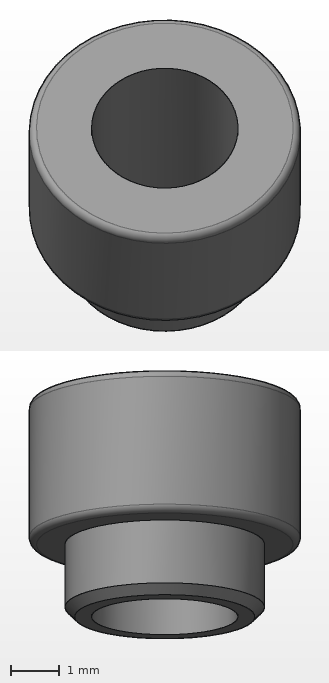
import cadquery as cq

head_diameter = 5.56
spigot_diameter = 4.09
bore_diameter = 3.0
total_height = 4.53
head_height = 3.0
head_edge_radius = 0.15
spigot_chamfer = 0.2

spigot_height = total_height - head_height

spigot = (
    cq.Workplane("XY")
    .circle(spigot_diameter / 2)
    .extrude(spigot_height)
    .faces("<Z")
    .chamfer(spigot_chamfer)
)

head = (
    cq.Workplane("XY")
    .workplane(offset=spigot_height)
    .circle(head_diameter / 2)
    .extrude(head_height)
    .edges("%CIRCLE")
    .fillet(head_edge_radius)
)

bore = cq.Workplane("XY").circle(bore_diameter / 2).extrude(total_height)

result = head.union(spigot).cut(bore)